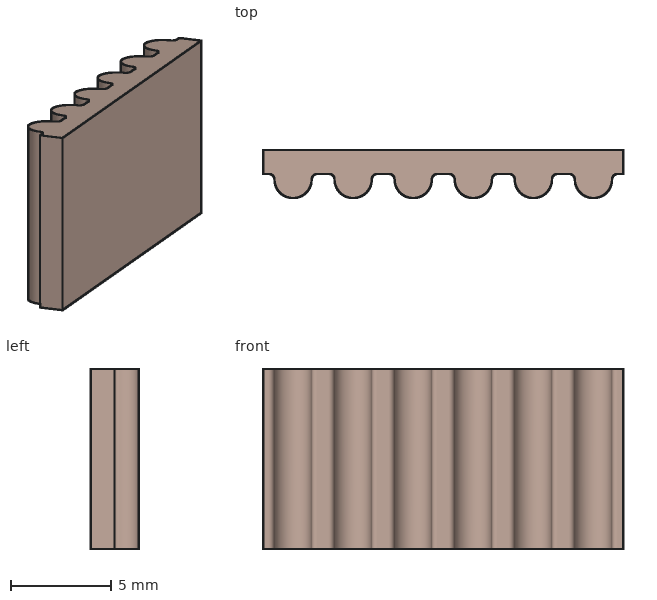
import cadquery as cq

length = 18.0
width = 9.0
total_depth = 2.41
tooth_count = 6
tooth_radius = 0.94
root_radius = 0.27
tooth_height = tooth_radius + root_radius

pitch = length / tooth_count
back_thickness = total_depth - tooth_height
back_y = total_depth / 2
root_y = back_y - back_thickness
tip_y = -total_depth / 2
tooth_center_y = tip_y + tooth_radius
root_half_width = tooth_radius + root_radius


def add_tooth(outline, center_x):
    """Continue the outline along one tooth: root fillet, round tip, root fillet."""
    left = center_x - tooth_radius
    right = center_x + tooth_radius
    return (
        outline.lineTo(center_x - root_half_width, root_y)
        .radiusArc((left, tooth_center_y), root_radius)
        .threePointArc((center_x, tip_y), (right, tooth_center_y))
        .radiusArc((center_x + root_half_width, root_y), root_radius)
    )


profile = cq.Workplane("XY").moveTo(-length / 2, back_y).lineTo(-length / 2, root_y)
for index in range(tooth_count):
    profile = add_tooth(profile, -length / 2 + (index + 0.5) * pitch)
profile = profile.lineTo(length / 2, root_y).lineTo(length / 2, back_y).close()

result = profile.extrude(width / 2, both=True)